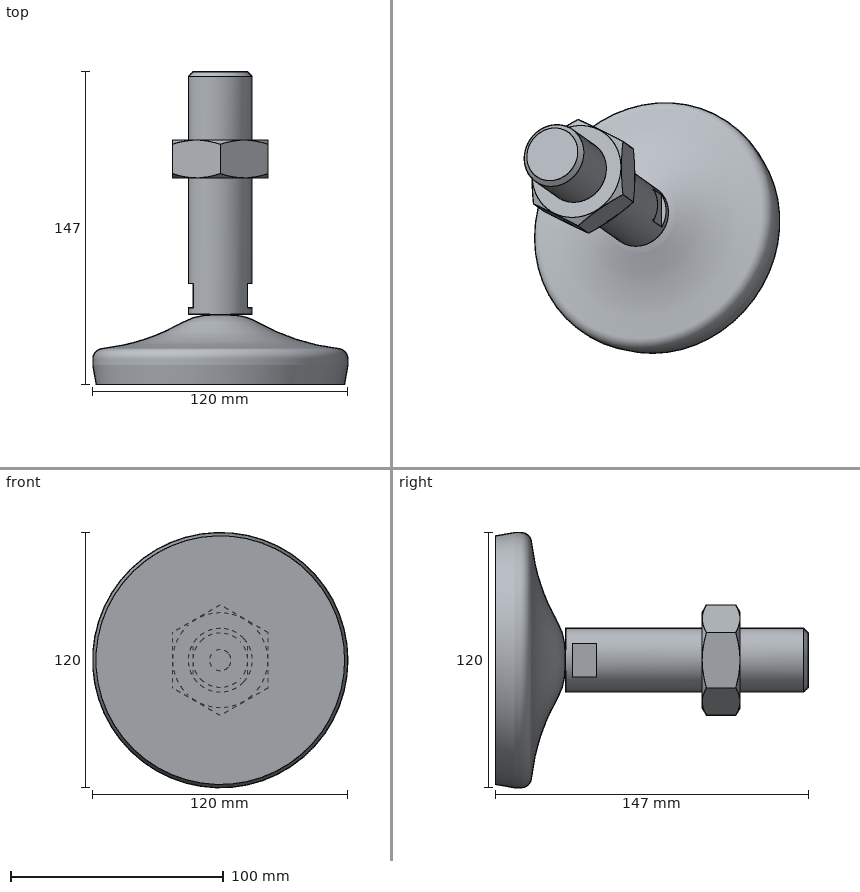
import cadquery as cq
import math


FOOT_RADIUS = 60.0
BAND_BOTTOM = 9.0
BAND_TOP = 12.0
SKIRT_TAPER = 10.0
RIM_FILLET = 5.0
FLANK_RADIUS = 100.0
DOME_RADIUS = 25.0
DOME_TOP = 32.7

NECK_RADIUS = 5.0
STUD_RADIUS = 15.0
STUD_BOTTOM = 33.0
STUD_TOP = 147.0
STUD_CHAMFER = 2.2
WRENCH_WIDTH = 25.6
WRENCH_BOTTOM = 36.2
WRENCH_TOP = 47.4

NUT_WIDTH = 45.0
NUT_BOTTOM = 97.0
NUT_HEIGHT = 18.0
NUT_FACE_DIAMETER = 44.6
NUT_CHAMFER_ANGLE = 30.0
CORNER_CLEARANCE = 1.0

HEXAGON_SIDES = 6
FULL_TURN = 360.0


def toward(start, end, distance):
    """Point at the given distance from start on the line to end."""
    length = math.dist(start, end)
    return tuple(s + (e - s) * distance / length for s, e in zip(start, end))


def arc_middle(center, start, end, radius):
    """Middle point of the shorter arc from start to end."""
    chord_middle = tuple((s + e) / 2 for s, e in zip(start, end))
    return toward(center, chord_middle, radius)


def flank_center(rim_center, dome_center):
    """Center of the flank arc that is tangent to both the rim fillet and the dome."""
    from_dome = FLANK_RADIUS + DOME_RADIUS
    from_rim = FLANK_RADIUS + RIM_FILLET
    span = math.dist(dome_center, rim_center)
    along = (from_dome**2 - from_rim**2 + span**2) / (2 * span)
    across = math.sqrt(from_dome**2 - along**2)
    ux = (rim_center[0] - dome_center[0]) / span
    uy = (rim_center[1] - dome_center[1]) / span
    return (
        dome_center[0] + along * ux - across * uy,
        dome_center[1] + along * uy + across * ux,
    )


def make_foot():
    """Revolved foot with tapered skirt, rounded rim, concave flank, dome and neck."""
    sole_radius = FOOT_RADIUS - BAND_BOTTOM * math.tan(math.radians(SKIRT_TAPER))
    rim_start = (FOOT_RADIUS, BAND_TOP)
    rim_center = (FOOT_RADIUS - RIM_FILLET, BAND_TOP)
    dome_end = (NECK_RADIUS, DOME_TOP)
    dome_center = (NECK_RADIUS, DOME_TOP - DOME_RADIUS)
    flank = flank_center(rim_center, dome_center)

    rim_end = toward(rim_center, flank, RIM_FILLET)
    dome_start = toward(dome_center, flank, DOME_RADIUS)

    return (
        cq.Workplane("XY")
        .lineTo(sole_radius, 0)
        .lineTo(FOOT_RADIUS, BAND_BOTTOM)
        .lineTo(*rim_start)
        .threePointArc(arc_middle(rim_center, rim_start, rim_end, RIM_FILLET), rim_end)
        .threePointArc(arc_middle(flank, rim_end, dome_start, FLANK_RADIUS), dome_start)
        .threePointArc(arc_middle(dome_center, dome_start, dome_end, DOME_RADIUS), dome_end)
        .lineTo(NECK_RADIUS, STUD_BOTTOM)
        .lineTo(0, STUD_BOTTOM)
        .close()
        .revolve(FULL_TURN, (0, 0), (0, 1))
    )


def make_stud():
    """Round stud with a chamfered tip and a pair of wrench flats facing +X and -X."""
    stud = (
        cq.Workplane("XZ", origin=(0, STUD_BOTTOM, 0))
        .circle(STUD_RADIUS)
        .extrude(STUD_BOTTOM - STUD_TOP)
        .faces(">Y")
        .chamfer(STUD_CHAMFER)
    )
    flat_depth = STUD_RADIUS - WRENCH_WIDTH / 2
    flat_length = WRENCH_TOP - WRENCH_BOTTOM
    for side in (-1, 1):
        cutter = cq.Workplane("XY").box(2 * flat_depth, flat_length, 2 * STUD_RADIUS)
        middle_y = (WRENCH_BOTTOM + WRENCH_TOP) / 2
        stud = stud.cut(cutter.translate((side * STUD_RADIUS, middle_y, 0)))
    return stud


def make_nut():
    """Hexagon nut with flats facing +X and -X and conical chamfers at both ends."""
    corner_radius = NUT_WIDTH / 2 / math.cos(math.pi / HEXAGON_SIDES)
    hexagon = (
        cq.Workplane("XZ", origin=(0, NUT_BOTTOM, 0))
        .transformed(rotate=(0, 0, FULL_TURN / 4))
        .polygon(HEXAGON_SIDES, 2 * corner_radius)
        .extrude(-NUT_HEIGHT)
    )
    face_radius = NUT_FACE_DIAMETER / 2
    cone_radius = corner_radius + CORNER_CLEARANCE
    cone_height = (cone_radius - face_radius) * math.tan(math.radians(NUT_CHAMFER_ANGLE))
    nut_top = NUT_BOTTOM + NUT_HEIGHT
    envelope = (
        cq.Workplane("XY")
        .moveTo(0, NUT_BOTTOM)
        .lineTo(face_radius, NUT_BOTTOM)
        .lineTo(cone_radius, NUT_BOTTOM + cone_height)
        .lineTo(cone_radius, nut_top - cone_height)
        .lineTo(face_radius, nut_top)
        .lineTo(0, nut_top)
        .close()
        .revolve(FULL_TURN, (0, 0), (0, 1))
    )
    return hexagon.intersect(envelope)


result = make_foot().union(make_stud()).union(make_nut())